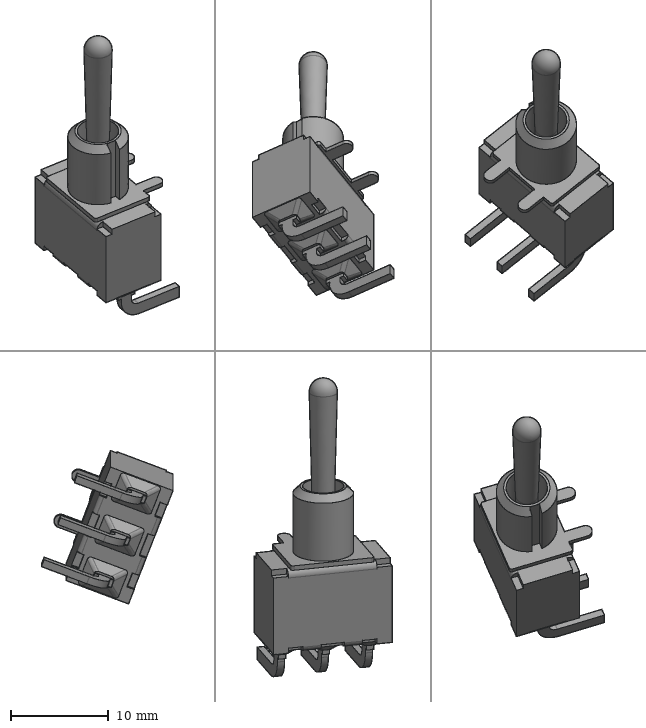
import cadquery as cq
import math

TOTAL_HEIGHT = 32.37
COLLAR_BOTTOM = 2.72
BASE_BOTTOM = 3.2
BODY_BOTTOM = 4.18
BODY_TOP = 13.15
PLATE_TOP = 13.63
BUSHING_TOP = 20.7

BODY_LENGTH = 12.7
BODY_DEPTH = 6.85
FRAME_LENGTH = 9.45
FRAME_TOP_RADIUS = 0.78
CORNER_STEP_DEPTH = 0.75
CORNER_STEP_DROP = 0.6
CORNER_STEP_LENGTH = (BODY_LENGTH - FRAME_LENGTH) / 2
NOTCH_HEIGHT = 0.55
NOTCH_DEPTH = 0.78
CLIP_LENGTH = 1.95
CLIP_OFFSET = 2.2
CLIP_RADIUS = 0.5

PLATE_LENGTH = 8.87
PLATE_CORNER_RADIUS = 0.25
TAB_WIDTH = 1.33
TAB_OFFSET = 2.52
TAB_TIP_Y = 6.15

BUSHING_RADIUS = 3.1
BUSHING_CHAMFER = 0.75
BORE_RADIUS = 2.1
BORE_FLOOR = 14.57
KEYWAY_WIDTH = 1.07
KEYWAY_INNER_X = 2.35

LEVER_TIP_RADIUS = 1.45
LEVER_NECK_RADIUS = 1.15
LEVER_NECK_Z = 19.42

OVERALL_DEPTH = 10.05
PIN_PITCH = 4.7
OUTER_PIN_WIDTH = 0.78
MIDDLE_PIN_WIDTH = 0.75
PIN_SHANK_DEPTH = 1.25
PIN_FOOT_HEIGHT = 1.35
PIN_TIP_Y = OVERALL_DEPTH - BODY_DEPTH / 2
PIN_INNER_RADIUS = 0.825
PIN_OUTER_RADIUS = 2.25
COLLAR_DEPTH = 2.1
BASE_LENGTH = 3.15
BASE_DEPTH = 4.37
BASE_TIP_LENGTH = 1.23
BASE_TIP_DEPTH = 2.17
BASE_CORNER_RADIUS = 0.55


def block(length, depth, bottom, top, x=0.0, y=0.0):
    """Upright box centred on (x, y) between two heights."""
    box = cq.Workplane("XY").box(length, depth, top - bottom, centered=(True, True, False))
    return box.translate((x, y, bottom))


def make_body():
    body = block(FRAME_LENGTH, BODY_DEPTH, BODY_BOTTOM, BODY_TOP)
    body = body.edges("|X and >Z").fillet(FRAME_TOP_RADIUS)
    end_x = (FRAME_LENGTH + CORNER_STEP_LENGTH) / 2
    for side in (-1, 1):
        lower = block(CORNER_STEP_LENGTH, BODY_DEPTH, BODY_BOTTOM, BODY_TOP - CORNER_STEP_DROP, side * end_x)
        upper_depth = BODY_DEPTH - 2 * CORNER_STEP_DEPTH
        upper = block(CORNER_STEP_LENGTH, upper_depth, BODY_BOTTOM, BODY_TOP, side * end_x)
        body = body.union(lower).union(upper)

    recess_y = (BODY_DEPTH - NOTCH_DEPTH) / 2
    for side in (-1, 1):
        y = side * recess_y
        body = body.cut(block(FRAME_LENGTH, NOTCH_DEPTH, BODY_BOTTOM, BODY_BOTTOM + NOTCH_HEIGHT, y=y))
        outer_edge = "|X and <Z and " + (">Y" if side > 0 else "<Y")
        for x in (-CLIP_OFFSET, CLIP_OFFSET):
            clip = block(CLIP_LENGTH, NOTCH_DEPTH, BODY_BOTTOM, BODY_BOTTOM + NOTCH_HEIGHT, x, y)
            body = body.union(clip.edges(outer_edge).fillet(CLIP_RADIUS))
    return body


def make_plate():
    plate = block(PLATE_LENGTH, BODY_DEPTH, BODY_TOP, PLATE_TOP).edges("|Z").fillet(PLATE_CORNER_RADIUS)
    tip_centre_y = TAB_TIP_Y - TAB_WIDTH / 2
    for x in (-TAB_OFFSET, TAB_OFFSET):
        shank = block(TAB_WIDTH, tip_centre_y, BODY_TOP, PLATE_TOP, x, tip_centre_y / 2)
        tip = cq.Workplane("XY").circle(TAB_WIDTH / 2).extrude(PLATE_TOP - BODY_TOP)
        plate = plate.union(shank).union(tip.translate((x, tip_centre_y, BODY_TOP)))
    return plate


def make_bushing():
    height = BUSHING_TOP - PLATE_TOP
    bushing = cq.Workplane("XY").workplane(offset=PLATE_TOP).circle(BUSHING_RADIUS).extrude(height)
    bushing = bushing.faces(">Z").chamfer(BUSHING_CHAMFER)
    bore = cq.Workplane("XY").workplane(offset=BORE_FLOOR).circle(BORE_RADIUS).extrude(TOTAL_HEIGHT)
    keyway = block(BUSHING_RADIUS, KEYWAY_WIDTH, PLATE_TOP, BUSHING_TOP, KEYWAY_INNER_X + BUSHING_RADIUS / 2)
    return bushing.cut(bore).cut(keyway)


def make_lever():
    diagonal = math.sqrt(0.5)
    tip_centre = TOTAL_HEIGHT - LEVER_TIP_RADIUS
    ball_exit_height = math.sqrt(BORE_RADIUS**2 - LEVER_NECK_RADIUS**2)
    ball_exit_angle = math.atan2(ball_exit_height, LEVER_NECK_RADIUS) / 2
    profile = (
        cq.Workplane("XZ")
        .moveTo(0, BORE_FLOOR)
        .lineTo(BORE_RADIUS, BORE_FLOOR)
        .threePointArc(
            (BORE_RADIUS * math.cos(ball_exit_angle), BORE_FLOOR + BORE_RADIUS * math.sin(ball_exit_angle)),
            (LEVER_NECK_RADIUS, BORE_FLOOR + ball_exit_height),
        )
        .lineTo(LEVER_NECK_RADIUS, LEVER_NECK_Z)
        .lineTo(LEVER_TIP_RADIUS, tip_centre)
        .threePointArc(
            (LEVER_TIP_RADIUS * diagonal, tip_centre + LEVER_TIP_RADIUS * diagonal),
            (0, TOTAL_HEIGHT),
        )
        .close()
    )
    return profile.revolve(360, (0, 0, 0), (0, 1, 0))


def make_terminal(x, width):
    base = (
        cq.Workplane("XY")
        .workplane(offset=BODY_BOTTOM)
        .rect(BASE_LENGTH, BASE_DEPTH)
        .workplane(offset=BASE_BOTTOM - BODY_BOTTOM)
        .rect(BASE_TIP_LENGTH, BASE_TIP_DEPTH)
        .loft(ruled=True)
    )
    base = base.edges("not(|X or |Y)").fillet(BASE_CORNER_RADIUS)
    collar = block(width, COLLAR_DEPTH, COLLAR_BOTTOM, BASE_BOTTOM)

    front_y = -PIN_SHANK_DEPTH / 2
    back_y = PIN_SHANK_DEPTH / 2
    pin = (
        cq.Workplane("YZ")
        .moveTo(front_y, COLLAR_BOTTOM)
        .lineTo(front_y, PIN_OUTER_RADIUS)
        .radiusArc((front_y + PIN_OUTER_RADIUS, 0), -PIN_OUTER_RADIUS)
        .lineTo(PIN_TIP_Y, 0)
        .lineTo(PIN_TIP_Y, PIN_FOOT_HEIGHT)
        .lineTo(back_y + PIN_INNER_RADIUS, PIN_FOOT_HEIGHT)
        .radiusArc((back_y, PIN_FOOT_HEIGHT + PIN_INNER_RADIUS), PIN_INNER_RADIUS)
        .lineTo(back_y, COLLAR_BOTTOM)
        .close()
        .extrude(width / 2, both=True)
    )
    return base.union(collar).union(pin).translate((x, 0, 0))


result = make_body().union(make_plate()).union(make_bushing()).union(make_lever())
for pin_x, pin_width in ((-PIN_PITCH, OUTER_PIN_WIDTH), (0, MIDDLE_PIN_WIDTH), (PIN_PITCH, OUTER_PIN_WIDTH)):
    result = result.union(make_terminal(pin_x, pin_width))